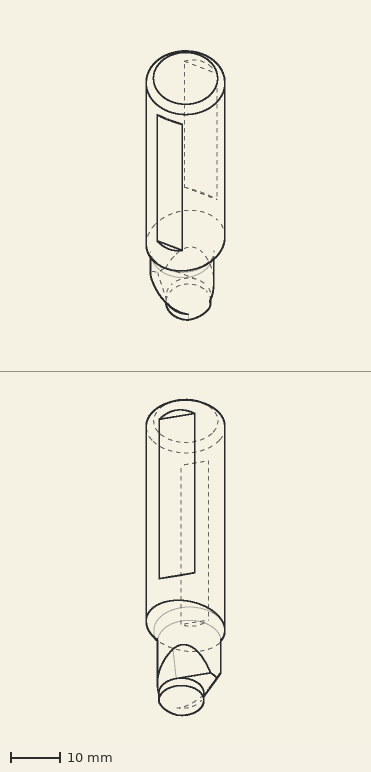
import cadquery as cq
import math

length = 74.7
shank_radius = 8.0
top_chamfer = 1.5

flat_bottom = 26.6
flat_top = 69.8
front_flat_depth = 0.5
back_flat_depth = 0.9

neck_x = -0.75
neck_radius = 6.4
blend_bottom = 14.8
blend_radius = 5.8
shoulder_angle = math.radians(30)
cone_clearance = 0.75

tip_x = 1.1
tip_y = -1.05
tip_radius = 4.55
tip_height = 2.0
flank_taper = 25.0
flank_height = 9.0
back_flank_direction = math.radians(90)
front_flank_direction = math.radians(220)


def make_shank():
    """Chamfered round bar over the full length."""
    bar = cq.Workplane("XY").circle(shank_radius).extrude(length)
    return bar.faces(">Z").chamfer(top_chamfer)


def make_flat_cut(side, depth):
    """Trapezoidal cut through X; side is -1 for -Y and +1 for +Y."""
    inner = side * (shank_radius - depth)
    outer = side * shank_radius
    return (
        cq.Workplane("YZ")
        .moveTo(inner, flat_bottom)
        .lineTo(inner, flat_top)
        .lineTo(outer, flat_top + depth)
        .lineTo(outer, flat_bottom - depth)
        .close()
        .extrude(shank_radius, both=True)
    )


def make_neck_envelope():
    """Revolved neck that widens until it encloses the whole shank."""
    def blend_point(angle):
        radius = neck_radius + blend_radius * (1 - math.cos(angle))
        return radius, blend_bottom + blend_radius * math.sin(angle)

    blend_end = blend_point(shoulder_angle)
    cone_radius = shank_radius + abs(neck_x) + cone_clearance
    cone_top = blend_end[1] + (cone_radius - blend_end[0]) / math.tan(shoulder_angle)
    return (
        cq.Workplane("XZ")
        .lineTo(neck_radius, 0)
        .lineTo(neck_radius, blend_bottom)
        .threePointArc(blend_point(shoulder_angle / 2), blend_end)
        .lineTo(cone_radius, cone_top)
        .lineTo(cone_radius, length)
        .lineTo(0, length)
        .close()
        .revolve(360, (0, 0), (0, 1))
        .translate((neck_x, 0, 0))
    )


def make_tip_envelope():
    """Round tip below tapered flanks on a teardrop base, with plain stock above."""
    def tip_point(angle, radius=tip_radius):
        return tip_x + radius * math.cos(angle), tip_y + radius * math.sin(angle)

    middle = (back_flank_direction + front_flank_direction) / 2
    half_spread = (front_flank_direction - back_flank_direction) / 2
    apex = tip_point(middle, tip_radius / math.cos(half_spread))

    tip = cq.Workplane("XY").center(tip_x, tip_y).circle(tip_radius).extrude(tip_height)
    flanks = (
        cq.Workplane("XY", origin=(0, 0, tip_height))
        .moveTo(*apex)
        .lineTo(*tip_point(front_flank_direction))
        .threePointArc(tip_point(middle + math.pi), tip_point(back_flank_direction))
        .close()
        .extrude(flank_height, taper=-flank_taper)
    )
    stock_bottom = tip_height + flank_height
    stock = (
        cq.Workplane("XY", origin=(0, 0, stock_bottom))
        .circle(shank_radius)
        .extrude(length - stock_bottom)
    )
    return tip.union(flanks).union(stock)


result = make_shank().intersect(make_neck_envelope()).intersect(make_tip_envelope())
result = result.cut(make_flat_cut(-1, front_flat_depth))
result = result.cut(make_flat_cut(1, back_flat_depth))